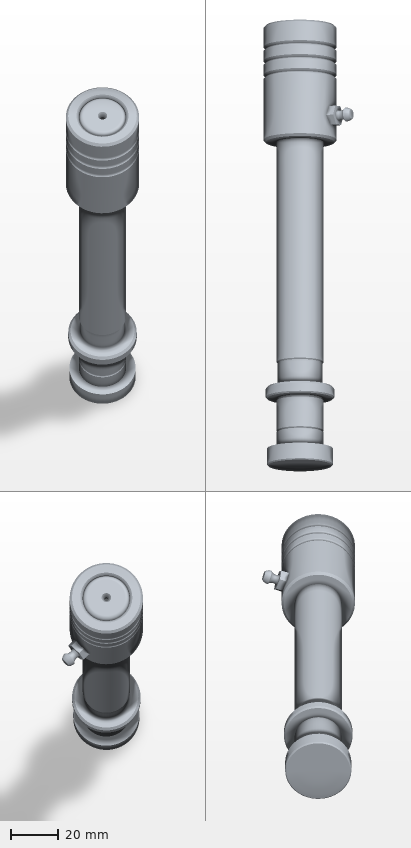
import cadquery as cq
import math


total_height = 189.0
bush_length = 50.0
bush_bottom = total_height - bush_length

bush_radius = 15.5
bush_top_chamfer = 1.0
bush_bottom_chamfer = 1.0
bore_chamfer = 1.0
groove_count = 3
groove_pitch = 6.0
groove_depth = 1.0
groove_width = 2.0 * groove_depth
first_groove_depth_from_top = 10.0

pillar_radius = 10.0
pillar_bottom = 14.5
pillar_top_fillet = 2.0
joint_chamfer = 0.5
relief_radius = 9.5
relief_top = 44.5
relief_step = pillar_radius - relief_radius

collar_radius = 14.5
collar_bottom = 28.8
collar_top = 33.8
collar_top_chamfer = 1.0
collar_bottom_chamfer = 0.6
collar_root_fillet = 1.3
undercut_height = 1.0

centre_cone_radius = 2.0
centre_drill_radius = 0.8
centre_cone_angle = 60.0
centre_drill_length = 2.0

foot_flange_radius = 14.0
foot_flange_height = 7.2
foot_chamfer = 0.5

nipple_height = bush_bottom + 10.0
nipple_tip_y = 24.5
hex_across_flats = 8.0
hex_turn = 5.0
hex_seat_y = 14.7
hex_outer_y = 18.2
neck_flare_y = 19.3
head_rim_y = 22.0
neck_radius = 1.9
neck_root_radius = 2.2
head_rim_radius = 3.0
head_tip_radius = 2.0
head_arc_radius = 4.0
neck_arc_radius = 3.0


def turn_about_z(outline):
    """Revolve a closed outline, drawn as (radius, height), about Z."""
    return outline.close().revolve(360, (0, 0, 0), (0, 1, 0))


def grease_hex():
    """Hexagon of the nipple, from its seat in the bush to its outer face."""
    corner_diameter = hex_across_flats / math.cos(math.pi / 6)
    return (
        cq.Workplane("XZ")
        .polygon(6, corner_diameter)
        .extrude(-(hex_outer_y - hex_seat_y))
        .rotate((0, 0, 0), (0, 1, 0), hex_turn)
        .translate((0, hex_seat_y, nipple_height))
    )


def ring_groove(middle_height):
    """V-shaped ring that cuts one groove around the bush."""
    half_width = groove_width / 2
    return turn_about_z(
        cq.Workplane("XZ")
        .moveTo(bush_radius, middle_height - half_width)
        .lineTo(bush_radius - groove_depth, middle_height)
        .lineTo(bush_radius, middle_height + half_width)
    )


def make_bush():
    body = turn_about_z(
        cq.Workplane("XZ")
        .moveTo(pillar_radius, bush_bottom)
        .lineTo(bush_radius - bush_bottom_chamfer, bush_bottom)
        .lineTo(bush_radius, bush_bottom + bush_bottom_chamfer)
        .lineTo(bush_radius, total_height - bush_top_chamfer)
        .lineTo(bush_radius - bush_top_chamfer, total_height)
        .lineTo(pillar_radius + bore_chamfer, total_height)
        .lineTo(pillar_radius, total_height - bore_chamfer)
    )
    for index in range(groove_count):
        depth_from_top = first_groove_depth_from_top + index * groove_pitch
        body = body.cut(ring_groove(total_height - depth_from_top))
    return body.cut(grease_hex())


def centre_hole():
    """Conical centre hole with a short pilot drilling below it."""
    cone_slope = math.tan(math.radians(centre_cone_angle / 2))
    cone_bottom = total_height - (centre_cone_radius - centre_drill_radius) / cone_slope
    drill_bottom = cone_bottom - centre_drill_length
    return turn_about_z(
        cq.Workplane("XZ")
        .moveTo(0, drill_bottom)
        .lineTo(centre_drill_radius, drill_bottom)
        .lineTo(centre_drill_radius, cone_bottom)
        .lineTo(centre_cone_radius, total_height)
        .lineTo(0, total_height)
    )


def make_pillar():
    body = turn_about_z(
        cq.Workplane("XZ")
        .moveTo(0, pillar_bottom)
        .lineTo(pillar_radius - joint_chamfer, pillar_bottom)
        .lineTo(pillar_radius, pillar_bottom + joint_chamfer)
        .lineTo(pillar_radius, collar_bottom - undercut_height)
        .lineTo(relief_radius, collar_bottom - undercut_height)
        .lineTo(relief_radius, collar_bottom)
        .lineTo(collar_radius - collar_bottom_chamfer, collar_bottom)
        .lineTo(collar_radius, collar_bottom + collar_bottom_chamfer)
        .lineTo(collar_radius, collar_top - collar_top_chamfer)
        .lineTo(collar_radius - collar_top_chamfer, collar_top)
        .lineTo(relief_radius + collar_root_fillet, collar_top)
        .radiusArc((relief_radius, collar_top + collar_root_fillet), collar_root_fillet)
        .lineTo(relief_radius, relief_top - relief_step)
        .lineTo(pillar_radius, relief_top)
        .lineTo(pillar_radius, total_height - pillar_top_fillet)
        .radiusArc((pillar_radius - pillar_top_fillet, total_height), -pillar_top_fillet)
        .lineTo(0, total_height)
    )
    return body.cut(centre_hole())


def make_foot():
    return turn_about_z(
        cq.Workplane("XZ")
        .moveTo(0, 0)
        .lineTo(foot_flange_radius - foot_chamfer, 0)
        .lineTo(foot_flange_radius, foot_chamfer)
        .lineTo(foot_flange_radius, foot_flange_height)
        .lineTo(pillar_radius, foot_flange_height)
        .lineTo(pillar_radius, pillar_bottom - joint_chamfer)
        .lineTo(pillar_radius - joint_chamfer, pillar_bottom)
        .lineTo(0, pillar_bottom)
    )


def make_nipple():
    head = (
        cq.Workplane("XY")
        .moveTo(0, hex_outer_y)
        .lineTo(neck_root_radius, hex_outer_y)
        .lineTo(neck_radius, neck_flare_y)
        .radiusArc((head_rim_radius, head_rim_y), neck_arc_radius)
        .radiusArc((head_tip_radius, nipple_tip_y), -head_arc_radius)
        .lineTo(0, nipple_tip_y)
        .close()
        .revolve(360, (0, 0, 0), (0, 1, 0))
        .translate((0, 0, nipple_height))
    )
    return grease_hex().union(head)


bush = make_bush()
pillar = make_pillar()
foot = make_foot()
nipple = make_nipple()

result = cq.Compound.makeCompound([bush.val(), pillar.val(), foot.val(), nipple.val()])